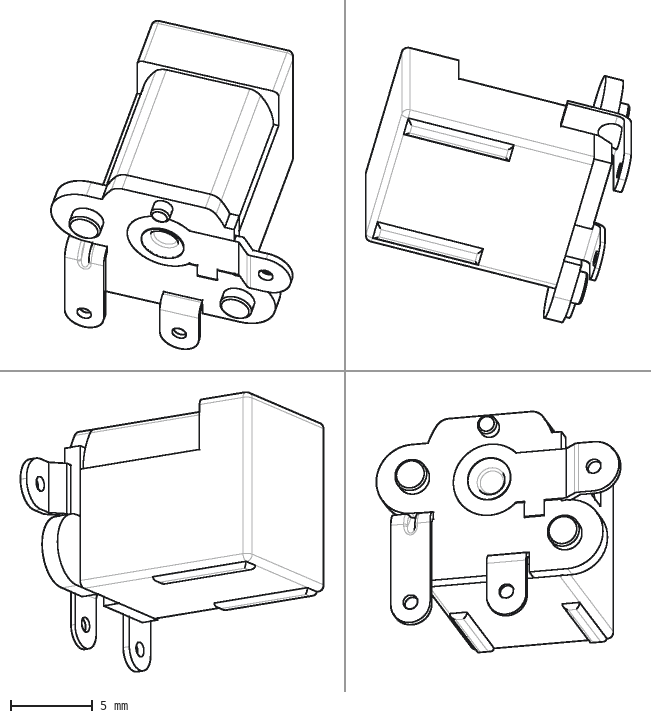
import cadquery as cq
import math


OVERALL_WIDTH = 15.49
OVERALL_DEPTH = 14.0
OVERALL_HEIGHT = 13.6
FRONT_PROJECTION = 0.8
BACK_Y = OVERALL_DEPTH - FRONT_PROJECTION

HOUSING_WIDTH = 9.0
HALF_WIDTH = HOUSING_WIDTH / 2
HOUSING_TOP = HALF_WIDTH
HOUSING_BOTTOM = -6.2
HOUSING_ROUND = 0.4
STEP_Y = 9.68
LEDGE_Z = 1.24

CROWN_TOP = 4.2
CROWN_FLAT_HALF = 2.65
CROWN_SHOULDER = (3.33, 3.83)
CROWN_SHOULDER_MIDDLE = (3.02, 4.09)
CROWN_FLANK_MIDDLE = (3.9, 2.73)
CROWN_FOOT_X = 4.18

FOOT_X = 3.55
FOOT_WIDTH = 1.08
FOOT_HEIGHT = 0.31
FOOT_FRONT_Y = 6.09
FOOT_BACK_Y = 12.76
FOOT_ROUND = 0.3

PLATE_THICKNESS = 1.12
EAR_RADIUS = 2.23
LEFT_EAR = (-4.93, 0.5)
RIGHT_EAR = (4.9, HOUSING_BOTTOM + EAR_RADIUS)
EAR_TOP = LEFT_EAR[1] + EAR_RADIUS

LARGE_PEG_DIAMETER = 2.0
LARGE_PEG_X = 4.8
SMALL_PEG_DIAMETER = 1.2
SMALL_PEG_Z = 3.35
PEG_CHAMFER = 0.12

SHEET = 0.45
LUG_HOLE_DIAMETER = 0.9
LUG_WIDTH = 2.48
LUG_END_Z = HOUSING_TOP - OVERALL_HEIGHT
STRIP_BACK_Y = 3.22
END_FLAT = 0.002

SIDE_LUG_X = -4.8
SIDE_LUG_TOP = -1.78
SIDE_LUG_BEND = 0.9
SIDE_LUG_HOLE_Z = -7.78

MIDDLE_LUG_X = 1.24
MIDDLE_LUG_TOP = -4.99
MIDDLE_LUG_BEND = 0.7
MIDDLE_LUG_SHEET = 0.3
MIDDLE_LUG_HOLE_Z = -7.6
MIDDLE_NOTCH_GAP = 0.06

GROOVE_RADIUS = 0.25
GROOVE_EDGE_ROUND = 0.19
GROOVE_DROP = 1.55
RIDGE_RADIUS = GROOVE_RADIUS + SHEET
SELECT_MARGIN = 0.02

DISC_DIAMETER = 4.6
ARM_HALF_WIDTH = 1.6
ARM_BEND_X = 4.8
ARM_BEND_ROUND = 0.37
ARM_END_X = OVERALL_WIDTH + LEFT_EAR[0] - EAR_RADIUS
TAB_LEFT_X = 2.17
TAB_RIGHT_X = 3.42
TAB_BOTTOM = -2.57
POCKET_GAP = 0.06

RIM_DIAMETER = 2.7
RIM_HEIGHT = 0.2
RIM_EDGE = 0.08
SHANK_DIAMETER = 2.39
BORE_RADIUS = 0.88
BORE_ROUND = 0.15


def front_sketch(y):
    """Workplane facing the front at depth y: local x is X, local y is Z, positive extrusion goes to -Y."""
    return cq.Workplane("XZ", origin=(0, y, 0))


def block(x_range, y_range, z_range):
    """Axis-aligned box between pairs of coordinates."""
    corners = (x_range, y_range, z_range)
    sizes = [high - low for low, high in corners]
    starts = [low for low, high in corners]
    return cq.Workplane("XY").box(*sizes, centered=False).translate(tuple(starts))


def crown(front_y, back_y):
    """Rounded top of the jack, straight-sided below its foot down to the pin axis."""

    def mirrored(point):
        return (-point[0], point[1])

    foot = (CROWN_FOOT_X, LEDGE_Z)
    flat_end = (CROWN_FLAT_HALF, CROWN_TOP)
    return (
        front_sketch(back_y)
        .moveTo(-CROWN_FOOT_X, 0)
        .lineTo(*mirrored(foot))
        .threePointArc(mirrored(CROWN_FLANK_MIDDLE), mirrored(CROWN_SHOULDER))
        .threePointArc(mirrored(CROWN_SHOULDER_MIDDLE), mirrored(flat_end))
        .lineTo(*flat_end)
        .threePointArc(CROWN_SHOULDER_MIDDLE, CROWN_SHOULDER)
        .threePointArc(CROWN_FLANK_MIDDLE, foot)
        .lineTo(CROWN_FOOT_X, 0)
        .close()
        .extrude(back_y - front_y)
    )


def make_housing():
    """Rounded block whose front part steps down to ledges and the crown, with two feet underneath."""
    sides = (-HALF_WIDTH, HALF_WIDTH)
    depth = (PLATE_THICKNESS, BACK_Y)
    body = block(sides, depth, (HOUSING_BOTTOM, HOUSING_TOP))
    body = body.edges("|Y").fillet(HOUSING_ROUND).faces(">Y").edges().fillet(HOUSING_ROUND)
    body = body.cut(block(sides, (PLATE_THICKNESS, STEP_Y), (LEDGE_Z, HOUSING_TOP)))
    body = body.union(crown(PLATE_THICKNESS, STEP_Y))
    for x in (-FOOT_X, FOOT_X):
        foot = block(
            (x - FOOT_WIDTH / 2, x + FOOT_WIDTH / 2),
            (FOOT_FRONT_Y, FOOT_BACK_Y),
            (HOUSING_BOTTOM - FOOT_HEIGHT, HOUSING_BOTTOM + HOUSING_ROUND),
        )
        body = body.union(foot.faces("<Z").edges().fillet(FOOT_ROUND))
    return body


def peg(x, z, diameter):
    """Chamfered round peg on the front of the plate."""
    return (
        front_sketch(0)
        .center(x, z)
        .circle(diameter / 2)
        .extrude(FRONT_PROJECTION)
        .faces("<Y")
        .chamfer(PEG_CHAMFER)
    )


def make_plate():
    """Cover plate with the crown, two ears reaching past the sides, three pegs."""
    depth = (0, PLATE_THICKNESS)
    plate = block((-HALF_WIDTH, HALF_WIDTH), depth, (HOUSING_BOTTOM, EAR_TOP))
    plate = plate.union(crown(*depth))
    for x, z in (LEFT_EAR, RIGHT_EAR):
        round_end = front_sketch(PLATE_THICKNESS).center(x, z).circle(EAR_RADIUS).extrude(PLATE_THICKNESS)
        link = block((min(x, 0), max(x, 0)), depth, (z - EAR_RADIUS, z + EAR_RADIUS))
        plate = plate.union(round_end).union(link)
    plate = plate.union(peg(-LARGE_PEG_X, LEFT_EAR[1], LARGE_PEG_DIAMETER))
    plate = plate.union(peg(LARGE_PEG_X, RIGHT_EAR[1], LARGE_PEG_DIAMETER))
    return plate.union(peg(0, SMALL_PEG_Z, SMALL_PEG_DIAMETER))


def lug_notch(x, top):
    """Notch through the plate, from the top of a lug's strip down past the plate's lower edge."""
    return block((x - LUG_WIDTH / 2, x + LUG_WIDTH / 2), (0, PLATE_THICKNESS), (HOUSING_BOTTOM, top))


def bent_lug(x, top, bend, hole_z, sheet):
    """L-shaped solder lug: a strip running into the jack, a bend, and a drilled tongue with a round end."""
    front = -FRONT_PROJECTION
    inner_bend = bend - sheet
    diagonal = 1 - math.sqrt(0.5)
    lug = (
        cq.Workplane("YZ", origin=(x - LUG_WIDTH / 2, 0, 0))
        .moveTo(STRIP_BACK_Y, top)
        .lineTo(front + bend, top)
        .threePointArc((front + bend * diagonal, top - bend * diagonal), (front, top - bend))
        .lineTo(front, LUG_END_Z)
        .lineTo(front + sheet, LUG_END_Z)
        .lineTo(front + sheet, top - bend)
        .threePointArc(
            (front + sheet + inner_bend * diagonal, top - sheet - inner_bend * diagonal),
            (front + bend, top - sheet),
        )
        .lineTo(STRIP_BACK_Y, top - sheet)
        .close()
        .extrude(LUG_WIDTH)
    )
    lug = lug.edges("|Y and <Z").fillet(LUG_WIDTH / 2 - END_FLAT)
    hole = front_sketch(front + sheet).center(x, hole_z).circle(LUG_HOLE_DIAMETER / 2).extrude(sheet)
    return lug.cut(hole)


def make_side_lug():
    """Bent lug with a dimple at 45 degrees across its bend: a groove outside, a ridge inside."""
    lug = bent_lug(SIDE_LUG_X, SIDE_LUG_TOP, SIDE_LUG_BEND, SIDE_LUG_HOLE_Z, SHEET)
    groove_bottom = cq.Plane(
        origin=(SIDE_LUG_X, -FRONT_PROJECTION, SIDE_LUG_TOP - GROOVE_DROP),
        xDir=(1, 0, 0),
        normal=(0, -1, -1),
    )
    reach = 2 * LUG_WIDTH

    ridge = (
        cq.Workplane(groove_bottom)
        .center(0, GROOVE_RADIUS)
        .circle(RIDGE_RADIUS)
        .extrude(reach, both=True)
    )
    inner_face = -FRONT_PROJECTION + SHEET
    strip_underside = SIDE_LUG_TOP - SHEET
    inside_bend = (
        cq.Workplane("YZ", origin=(SIDE_LUG_X - RIDGE_RADIUS, 0, 0))
        .polyline(
            [
                (inner_face, strip_underside),
                (inner_face, strip_underside - LUG_WIDTH),
                (inner_face + LUG_WIDTH, strip_underside),
            ]
        )
        .close()
        .extrude(2 * RIDGE_RADIUS)
    )
    groove = (
        cq.Workplane(groove_bottom)
        .moveTo(-GROOVE_RADIUS, LUG_WIDTH)
        .lineTo(-GROOVE_RADIUS, GROOVE_RADIUS)
        .threePointArc((0, 0), (GROOVE_RADIUS, GROOVE_RADIUS))
        .lineTo(GROOVE_RADIUS, LUG_WIDTH)
        .close()
        .extrude(reach, both=True)
    )
    lug = lug.union(ridge.intersect(inside_bend)).cut(groove)

    half_width = 2 * GROOVE_RADIUS
    left = SIDE_LUG_X - half_width
    right = SIDE_LUG_X + half_width
    low = SIDE_LUG_TOP - LUG_WIDTH
    front = -FRONT_PROJECTION
    back = front + LUG_WIDTH
    in_front = cq.selectors.BoxSelector(
        (left, front - SELECT_MARGIN, low), (right, front + SELECT_MARGIN, SIDE_LUG_TOP)
    )
    on_top = cq.selectors.BoxSelector(
        (left, front, SIDE_LUG_TOP - SELECT_MARGIN), (right, back, SIDE_LUG_TOP + SELECT_MARGIN)
    )
    around_dimple = cq.selectors.BoxSelector((left, front, low), (right, back, SIDE_LUG_TOP))
    rim = lug.edges(in_front + on_top).add(lug.edges("%CIRCLE").edges(around_dimple))
    return rim.fillet(GROOVE_EDGE_ROUND)


def pin_terminal_outline(gap):
    """Disc, arm and tab as a flat sheet in the plate; gap widens it below the arm and the tab."""
    depth = (0, SHEET)
    disc = front_sketch(SHEET).circle(DISC_DIAMETER / 2).extrude(SHEET)
    arm = block((0, ARM_BEND_X), depth, (-ARM_HALF_WIDTH - gap, ARM_HALF_WIDTH))
    tab = block((TAB_LEFT_X, TAB_RIGHT_X), depth, (TAB_BOTTOM - gap, 0))
    return disc.union(arm).union(tab)


def make_pin_terminal():
    """Flat disc and arm sunk in the plate; past the plate the arm cranks forward to a drilled round lug."""
    front = -FRONT_PROJECTION
    back_shift = SHEET * math.tan(math.pi / 8)
    crank_end_x = ARM_BEND_X + FRONT_PROJECTION
    crank = (
        cq.Workplane("XY", origin=(0, 0, -ARM_HALF_WIDTH))
        .polyline(
            [
                (HALF_WIDTH, 0),
                (ARM_BEND_X, 0),
                (crank_end_x, front),
                (ARM_END_X, front),
                (ARM_END_X, front + SHEET),
                (crank_end_x + back_shift, front + SHEET),
                (ARM_BEND_X + back_shift, SHEET),
                (HALF_WIDTH, SHEET),
            ]
        )
        .close()
        .extrude(2 * ARM_HALF_WIDTH)
    )
    bend_edge = cq.selectors.NearestToPointSelector((crank_end_x, front, 0))
    crank = crank.edges("|Z").edges(bend_edge).fillet(ARM_BEND_ROUND)
    crank = crank.edges("|Y and >X").fillet(ARM_HALF_WIDTH - END_FLAT)
    lug_x = ARM_END_X - ARM_HALF_WIDTH
    hole = front_sketch(front + SHEET).center(lug_x, 0).circle(LUG_HOLE_DIAMETER / 2).extrude(SHEET)
    return pin_terminal_outline(0).union(crank).cut(hole)


def make_pin():
    """Centre pin: a shank through the plate, a rolled rim in front and a trumpet-shaped recess."""
    rim = RIM_DIAMETER / 2
    shank = SHANK_DIAMETER / 2
    flare = rim - BORE_RADIUS
    bore_y = flare - RIM_HEIGHT
    bottom_y = bore_y + BORE_ROUND
    half_root = math.sqrt(0.5)
    return (
        cq.Workplane("XY")
        .moveTo(0, bottom_y)
        .lineTo(BORE_RADIUS - BORE_ROUND, bottom_y)
        .threePointArc(
            (BORE_RADIUS - BORE_ROUND * (1 - half_root), bore_y + BORE_ROUND * half_root),
            (BORE_RADIUS, bore_y),
        )
        .threePointArc((rim - flare * half_root, bore_y - flare * half_root), (rim, -RIM_HEIGHT))
        .lineTo(rim, RIM_EDGE - RIM_HEIGHT)
        .lineTo(shank, 0)
        .lineTo(shank, PLATE_THICKNESS)
        .lineTo(0, PLATE_THICKNESS)
        .close()
        .revolve(360, (0, 0, 0), (0, 1, 0))
    )


side_lug = make_side_lug()
middle_lug = bent_lug(
    MIDDLE_LUG_X, MIDDLE_LUG_TOP, MIDDLE_LUG_BEND, MIDDLE_LUG_HOLE_Z, MIDDLE_LUG_SHEET
)
pin = make_pin()

shank_hole = front_sketch(PLATE_THICKNESS).circle(SHANK_DIAMETER / 2).extrude(PLATE_THICKNESS)
pin_terminal = make_pin_terminal().cut(shank_hole)
plate = (
    make_plate()
    .cut(pin_terminal_outline(POCKET_GAP))
    .cut(shank_hole)
    .cut(side_lug)
    .cut(lug_notch(MIDDLE_LUG_X, MIDDLE_LUG_TOP + MIDDLE_NOTCH_GAP))
)

housing = make_housing().cut(side_lug).cut(middle_lug)

result = cq.Compound.makeCompound(
    [housing.val(), plate.val(), side_lug.val(), middle_lug.val(), pin_terminal.val(), pin.val()]
)